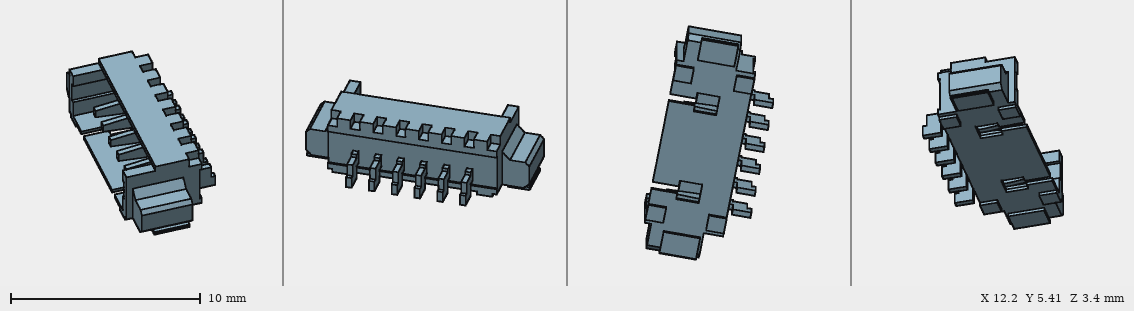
import cadquery as cq


overall_length = 12.25
overall_depth = 5.41
overall_height = 3.4

pin_count = 6
pin_pitch = 1.25
pin_width = 0.31
pin_xs = [(i - (pin_count - 1) / 2) * pin_pitch for i in range(pin_count)]

pin_top = 1.47
pin_bottom = 0.74
pin_tip_y = 0.88
pin_tip_inset = 0.15
pin_taper_start_y = 2.36
pin_shoulder_y = 4.42
pin_leg_top = 1.29
pin_leg_rear_y = 5.2
pin_foot_top = 0.61

notch_width = 0.51
notch_depth = 0.71
notch_height = 0.53
notch_count = pin_count + 2

housing_length = (notch_count - 1) * pin_pitch + notch_width
housing_rear_y = 4.2
housing_bottom = 0.18
roof_front_y = 1.62
roof_bottom = 3.11
rear_recess_depth = 0.11
rear_recess_bottom = 0.51
rear_recess_top = 2.49

cavity_length = 8.07
cavity_floor = 0.37
cavity_rear_y = 3.0
side_groove_depth = 0.18
side_groove_bottom = 1.31
side_groove_top = 2.41

floor_slot_width = 0.39
floor_slot_offset = 2 * pin_pitch
floor_window_width = 1.05
floor_window_front_y = 1.4
floor_window_rear_y = 2.6

foot_length = 0.85
foot_depth = 0.95
foot_centre_x = 3.97

ear_front_y = 0.35
ear_rear_y = 3.17
ear_top = 1.79
ear_top_chamfer = 0.22
ear_bottom_chamfer = 0.3
ear_ramp = 0.44

tab_length = 1.24
tab_front_y = 1.07
tab_rear_y = 3.03
tab_edge_chamfer = 0.06


def block(x_min, x_max, y_min, y_max, z_min, z_max):
    """Rectangular block between two limits on each axis."""
    size = (x_max - x_min, y_max - y_min, z_max - z_min)
    return cq.Workplane().box(*size, centered=False).translate((x_min, y_min, z_min))


def centred_block(x_centre, x_size, y_min, y_max, z_min, z_max):
    """Rectangular block centred on an X position."""
    return block(x_centre - x_size / 2, x_centre + x_size / 2, y_min, y_max, z_min, z_max)


def mirrored(shape):
    """Copy of a shape at the opposite end of the part."""
    return shape.mirror("YZ")


def make_shell():
    """Outer block with a stepped roof front and a shallow recess across the rear face."""
    recess_y = housing_rear_y - rear_recess_depth
    profile = [
        (0, housing_bottom),
        (housing_rear_y, housing_bottom),
        (housing_rear_y, rear_recess_bottom),
        (recess_y, rear_recess_bottom),
        (recess_y, rear_recess_top),
        (housing_rear_y, rear_recess_top),
        (housing_rear_y, overall_height),
        (roof_front_y, overall_height),
        (roof_front_y, roof_bottom),
        (0, roof_bottom),
    ]
    return cq.Workplane("YZ").polyline(profile).close().extrude(housing_length / 2, both=True)


def make_cavity():
    """Mating cavity, open at the front, with a wider groove in each side wall."""
    cavity = centred_block(0, cavity_length, 0, cavity_rear_y, cavity_floor, roof_bottom)
    groove_span = cavity_length + 2 * side_groove_depth
    grooves = centred_block(0, groove_span, 0, cavity_rear_y, side_groove_bottom, side_groove_top)
    return cavity.union(grooves)


def make_floor_slot():
    """Slot through the floor that opens into a wider window towards the rear."""
    slot = centred_block(
        floor_slot_offset, floor_slot_width, 0, floor_window_front_y, housing_bottom, cavity_floor
    )
    window = centred_block(
        floor_slot_offset,
        floor_window_width,
        floor_window_front_y,
        floor_window_rear_y,
        housing_bottom,
        cavity_floor,
    )
    return slot.union(window)


def make_ear():
    """Ear at the +X end, ramped up to the housing wall and chamfered along its outer edges."""
    wall_x = housing_length / 2
    outer_x = overall_length / 2
    profile = [
        (wall_x, housing_bottom),
        (outer_x - ear_bottom_chamfer, housing_bottom),
        (outer_x, housing_bottom + ear_bottom_chamfer),
        (outer_x, ear_top - ear_top_chamfer),
        (outer_x - ear_top_chamfer, ear_top),
        (wall_x + ear_ramp, ear_top),
        (wall_x, ear_top + ear_ramp),
    ]
    ear = cq.Workplane("XZ").polyline(profile).close().extrude(ear_front_y - ear_rear_y)
    return ear.translate((0, ear_front_y, 0))


def make_feet():
    """Front and rear standoff feet under the +X end of the housing."""
    front = centred_block(foot_centre_x, foot_length, 0, foot_depth, 0, housing_bottom)
    return front.union(front.translate((0, housing_rear_y - foot_depth, 0)))


def make_housing():
    """Housing with its cavity, notches, floor slots, ears, feet and pin holes."""
    housing = make_shell().cut(make_cavity())

    for i in range(notch_count):
        notch_x = (i - (notch_count - 1) / 2) * pin_pitch
        notch = centred_block(
            notch_x,
            notch_width,
            housing_rear_y - notch_depth,
            housing_rear_y,
            overall_height - notch_height,
            overall_height,
        )
        housing = housing.cut(notch)

    floor_slot = make_floor_slot()
    housing = housing.cut(floor_slot).cut(mirrored(floor_slot))

    for end_feature in (make_ear(), make_feet()):
        housing = housing.union(end_feature).union(mirrored(end_feature))

    for x in pin_xs:
        pin_hole = centred_block(x, pin_width, cavity_rear_y, housing_rear_y, pin_bottom, pin_top)
        housing = housing.cut(pin_hole)
    return housing


def make_pin(x):
    """Pin with a tapered contact blade in front and a stepped solder leg behind."""
    profile = [
        (pin_tip_y, pin_bottom + pin_tip_inset),
        (pin_taper_start_y, pin_bottom),
        (pin_shoulder_y, pin_bottom),
        (pin_shoulder_y, 0),
        (overall_depth, 0),
        (overall_depth, pin_foot_top),
        (pin_leg_rear_y, pin_foot_top),
        (pin_leg_rear_y, pin_leg_top),
        (pin_shoulder_y, pin_leg_top),
        (pin_shoulder_y, pin_top),
        (pin_taper_start_y, pin_top),
        (pin_tip_y, pin_top - pin_tip_inset),
    ]
    pin = cq.Workplane("YZ").polyline(profile).close().extrude(pin_width / 2, both=True)
    return pin.translate((x, 0, 0))


def make_solder_tab():
    """Flat solder tab under the +X ear, chamfered along both outer edges."""
    outer_x = overall_length / 2
    tab = block(outer_x - tab_length, outer_x, tab_front_y, tab_rear_y, 0, housing_bottom)
    return tab.faces(">X").edges("|Y").chamfer(tab_edge_chamfer)


housing = make_housing()
pins = [make_pin(x) for x in pin_xs]
right_tab = make_solder_tab()
solder_tabs = [right_tab, mirrored(right_tab)]

result = cq.Compound.makeCompound(
    [
        housing.val(),
        *[pin.val() for pin in pins],
        *[tab.val() for tab in solder_tabs],
    ]
)